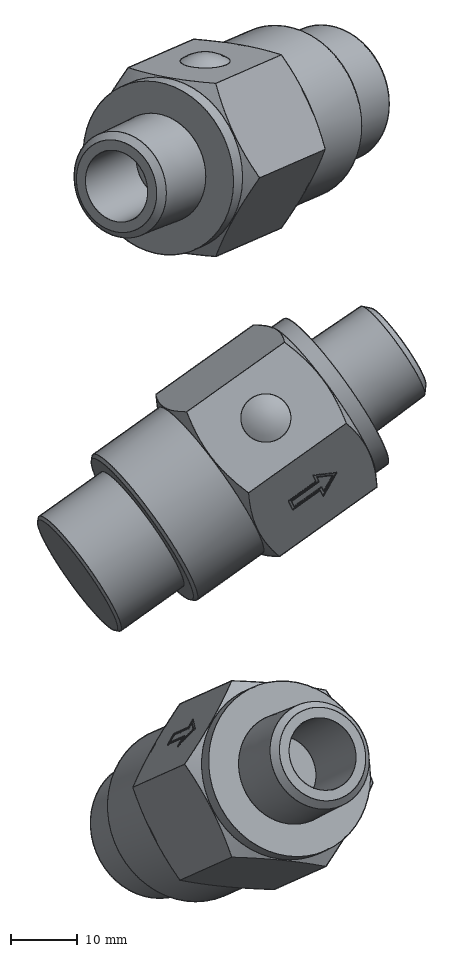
import cadquery as cq
import math

nose_end = 11.55
hex_start = 14.05
hex_end = 34.75
body_end = 47.5
total_length = 59.5

nose_base_radius = 8.45
nose_front_radius = 8.2
nose_tip_radius = 7.15
nose_chamfer_length = 1.0
body_radius = 13.4
body_chamfer = 0.5
tail_radius = 10.55
tail_chamfer = 0.4

bore_radius = 5.55
bore_depth = hex_start

hex_across_corners = 31.2
hex_corner_radius = hex_across_corners / 2
half_side_angle = math.radians(30)
flat_distance = hex_corner_radius * math.cos(half_side_angle)
hex_chamfer_angle = 30
hex_chamfer_length = (hex_corner_radius - body_radius) * math.tan(math.radians(hex_chamfer_angle))

button_y = 24.5
button_radius = 3.75
overall_height = 28.2
button_height = overall_height - 2 * flat_distance
dome_radius = (button_radius**2 + button_height**2) / (2 * button_height)

arrow_tip = 19.95
arrow_head_back = 23.4
arrow_tail = 28.5
arrow_head_half_width = 2.55
arrow_shaft_half_width = 1.1
groove_width = 0.4
groove_depth = 0.2


def revolve_about_axis(points):
    """Turn a closed (radius, Y) outline about the Y axis."""
    return cq.Workplane("XY").polyline(points).close().revolve(360, (0, 0), (0, 1))


def make_turned_body():
    return revolve_about_axis([
        (0, 0),
        (nose_tip_radius, 0),
        (nose_front_radius, nose_chamfer_length),
        (nose_base_radius, nose_end),
        (body_radius, nose_end),
        (body_radius, body_end - body_chamfer),
        (body_radius - body_chamfer, body_end),
        (tail_radius, body_end),
        (tail_radius, total_length - tail_chamfer),
        (tail_radius - tail_chamfer, total_length),
        (0, total_length),
    ])


def make_hexagon():
    """Hexagonal prism with its corners turned off conically at both ends."""
    prism = (
        cq.Workplane("XZ", origin=(0, hex_end, 0))
        .polygon(6, hex_across_corners)
        .extrude(hex_end - hex_start)
    )
    envelope = revolve_about_axis([
        (0, hex_start),
        (body_radius, hex_start),
        (hex_corner_radius, hex_start + hex_chamfer_length),
        (hex_corner_radius, hex_end - hex_chamfer_length),
        (body_radius, hex_end),
        (0, hex_end),
    ])
    return prism.intersect(envelope)


def make_button():
    """Spherical cap on a short stem that reaches into the hexagon."""
    dome = cq.Workplane("XY").sphere(dome_radius).translate(
        (0, button_y, overall_height - flat_distance - dome_radius)
    )
    stem = (
        cq.Workplane("XY", origin=(0, button_y, flat_distance - button_height))
        .circle(button_radius)
        .extrude(2 * button_height)
    )
    return dome.intersect(stem)


def make_arrow_groove():
    """Ring-shaped cutter between the arrow outline and its inward offset."""

    normal = (-math.cos(half_side_angle), 0, math.sin(half_side_angle))
    face_centre = tuple(flat_distance * part for part in normal)
    flat = cq.Workplane(cq.Plane(origin=face_centre, xDir=(0, 1, 0), normal=normal))
    outline = flat.polyline([
        (arrow_tip, 0),
        (arrow_head_back, arrow_head_half_width),
        (arrow_head_back, arrow_shaft_half_width),
        (arrow_tail, arrow_shaft_half_width),
        (arrow_tail, -arrow_shaft_half_width),
        (arrow_head_back, -arrow_shaft_half_width),
        (arrow_head_back, -arrow_head_half_width),
    ]).close()
    outer = outline.extrude(-groove_depth)
    inner = outline.toPending().offset2D(-groove_width, "intersection").extrude(-groove_depth)
    return outer.cut(inner)


bore = cq.Workplane("XZ").circle(bore_radius).extrude(-bore_depth)

result = (
    make_turned_body()
    .union(make_hexagon())
    .union(make_button())
    .cut(bore)
    .cut(make_arrow_groove())
)